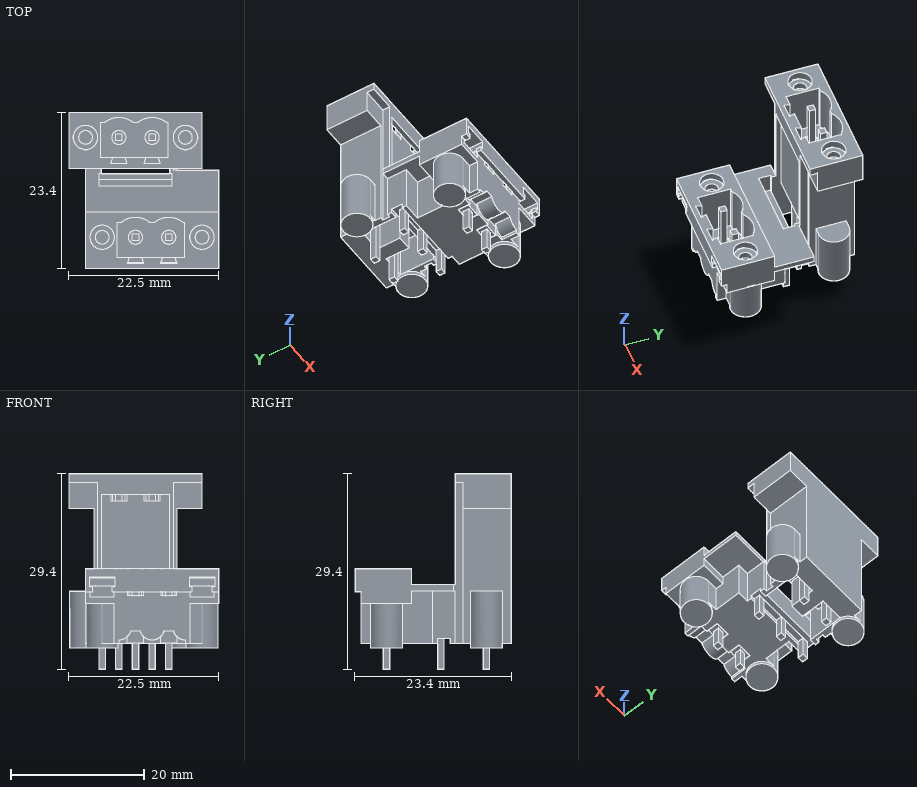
import cadquery as cq


pitch = 5.0
pin_width = 1.0
pin_bottom = -3.85
pin_drop = 0.8
row_distance = 14.97
contact_offsets = (-pitch / 2, pitch / 2)

rear_x, rear_y, rear_top = 0.0, 0.0, 25.5
front_x, front_y, front_top = pitch / 2, -row_distance, 11.27
rear_connector = (rear_x, rear_y, rear_top)
front_connector = (front_x, front_y, front_top)

flange_length = 20.0
flange_height = 5.25
flange_back = 3.75
lip_front = -4.7
front_face = -3.85
rear_face = -3.45
front_lip_height = 3.5
rear_lip_height = 1.32

cavity_left, cavity_right = -5.25, 4.85
cavity_front, cavity_back = -3.02, 2.2
cavity_depth = 8.0
lobe_radius = 3.4
lobe_peak = 3.0
key_front = -3.9
key_depth = 4.08
key_narrow, key_wide = 1.88, 2.4
ring_radius = 1.05
ring_depth = 0.3

screw_offset = 1.5 * pitch
screw_offsets = (-screw_offset, screw_offset)
counterbore_radius = 1.82
nut_hole_radius = 1.03
nut_width = 3.82
nut_top_depth, nut_bottom_depth = 1.4, 2.58
nut_slot_top_depth, nut_slot_bottom_depth = 1.3, 2.7
screw_slot_width, screw_slot_mouth_width = 3.58, 2.97
screw_slot_depth = 4.3

foot_radius = 2.4
foot_bottom = -0.65

tower_width = 12.5
body_width = 11.4
recess_width = 10.22
recess_back = -3.88
recess_top = 22.37
recess_bottom = 7.08
rib_width = 2.45
rib_front = -3.58

bridge_top, bridge_bottom = 8.9, 7.9
bridge_clearance = 0.2
block_front = -8.05

comb_front = -7.3
comb_back = comb_front + pin_width
comb_length = 2 * pitch + pin_width
slot_back = -5.43
slot_depth = 3.23
notch_height = 0.75

scallop_radius = 1.88
scallop_bottom = 0.55
pocket_height = 1.88
pocket_back = -1.17
channel_width = 2.47
channel_back = -0.88
relief_height = 0.1


def box(x0, x1, y0, y1, z0, z1):
    return cq.Workplane("XY").box(x1 - x0, y1 - y0, z1 - z0, centered=False).translate((x0, y0, z0))


def wide_box(x, width, y0, y1, z0, z1):
    """A box centred on x."""
    return box(x - width / 2, x + width / 2, y0, y1, z0, z1)


def cylinder(x, y, radius, z0, z1):
    return cq.Workplane("XY").circle(radius).extrude(z1 - z0).translate((x, y, z0))


def make_flange(connector, face, lip_height):
    x, y, top = connector
    body = wide_box(x, flange_length, y + face, y + flange_back, top - flange_height, top)
    lip = wide_box(x, flange_length, y + lip_front, y + face, top - lip_height, top)
    return body.union(lip)


def make_foot(x, y, top, body_side):
    """A round foot with a flat-sided web that joins it to the body."""
    round_part = cylinder(x, y, foot_radius, foot_bottom, top)
    web = box(min(x, body_side), max(x, body_side), y - foot_radius, y + foot_radius, 0, top)
    return round_part.union(web)


def make_feet(connector, width, top):
    x, y, _ = connector
    feet = cq.Workplane("XY")
    for side in (-1, 1):
        feet = feet.add(make_foot(x + side * screw_offset, y, top, x + side * width / 2).val())
    return feet.combine()


def make_cavity(connector):
    """Plug cavity with a lobe and a dovetail key slot at each contact."""
    x, y, top = connector
    floor = top - cavity_depth
    cavity = box(x + cavity_left, x + cavity_right, y + cavity_front, y + cavity_back, floor, top)
    lobe_room = box(x + cavity_left, x + cavity_right, y, y + lobe_peak, floor, top)
    for offset in contact_offsets:
        pin_x = x + offset
        lobe = cylinder(pin_x, y + lobe_peak - lobe_radius, lobe_radius, floor, top).intersect(lobe_room)
        ring = cylinder(pin_x, y, ring_radius, floor - ring_depth, floor)
        key = (
            cq.Workplane("XY")
            .polyline([
                (pin_x - key_narrow / 2, y + cavity_front),
                (pin_x + key_narrow / 2, y + cavity_front),
                (pin_x + key_wide / 2, y + key_front),
                (pin_x - key_wide / 2, y + key_front),
            ])
            .close()
            .extrude(key_depth)
            .translate((0, 0, top - key_depth))
        )
        cavity = cavity.union(lobe).union(ring).union(key)
    return cavity


def make_nut(x, y, top):
    half = nut_width / 2
    nut = wide_box(x, nut_width, y - half, y + half, top - nut_bottom_depth, top - nut_top_depth)
    return nut.cut(cylinder(x, y, nut_hole_radius, top - nut_bottom_depth, top - nut_top_depth))


def make_nut_pocket(x, y, top):
    """Closed nut seat under a counterbore."""
    half = nut_width / 2
    seat = wide_box(x, nut_width, y - half, y + half, top - nut_bottom_depth, top - nut_top_depth)
    return seat.union(cylinder(x, y, counterbore_radius, top - nut_top_depth, top))


def make_nut_slot(x, y, top):
    """Stepped nut slot, open at the front, under a counterbore."""
    back = y + nut_width / 2
    lip = y + lip_front
    shelf = top - nut_slot_bottom_depth
    bottom = top - screw_slot_depth
    slot = wide_box(x, nut_width, lip, back, shelf, top - nut_slot_top_depth)
    mouth = wide_box(x, screw_slot_mouth_width, lip, y + front_face, bottom, shelf)
    screw_room = wide_box(x, screw_slot_width, y + front_face, back, bottom, shelf)
    counterbore = cylinder(x, y, counterbore_radius, top - nut_slot_top_depth, top)
    return slot.union(mouth).union(screw_room).union(counterbore)


def make_contact(x, y, top):
    half = pin_width / 2
    return wide_box(x, pin_width, y - half, y + half, pin_bottom, top - pin_drop)


def make_tower():
    """Rear connector: flange, tower and feet, with a front recess and two contact channels."""
    tower = wide_box(rear_x, tower_width, rear_face, flange_back, 0, rear_top)
    face = wide_box(rear_x, body_width, lip_front, rear_face, 0, rear_top)
    recess = wide_box(rear_x, recess_width, lip_front, recess_back, 0, recess_top)
    channels = wide_box(rear_x, recess_width, recess_back, pin_width / 2, 0, recess_bottom)
    rib = wide_box(rear_x, rib_width, rib_front, pin_width / 2, 0, recess_bottom)
    return (
        tower.union(face)
        .union(make_flange(rear_connector, rear_face, rear_lip_height))
        .union(make_feet(rear_connector, tower_width, bridge_bottom))
        .cut(recess)
        .cut(channels.cut(rib))
    )


def make_scalloped_pocket():
    """Pocket under the front block, scalloped between contacts, with a channel at each contact."""
    front = front_y + front_face
    back = front_y + pocket_back
    pocket = wide_box(front_x, 2 * pitch, front, back, 0, pocket_height)
    for offset in (-pitch, 0, pitch):
        scallop = (
            cq.Workplane("XZ")
            .center(front_x + offset, scallop_bottom + scallop_radius)
            .circle(scallop_radius)
            .extrude(front - back)
            .translate((0, front, 0))
        )
        pocket = pocket.cut(scallop)
    for offset in contact_offsets:
        pin_x = front_x + offset
        channel = wide_box(pin_x, channel_width, back, front_y + channel_back, 0, pocket_height)
        relief = wide_box(pin_x, channel_width, back, front_y - channel_back, 0, relief_height)
        pocket = pocket.union(channel).union(relief)
    return pocket


def make_front_block():
    block = wide_box(front_x, body_width, front_y + front_face, block_front, 0, bridge_bottom)
    return (
        block.union(make_flange(front_connector, front_face, front_lip_height))
        .union(make_feet(front_connector, body_width, front_top - flange_height))
        .cut(make_scalloped_pocket())
    )


def make_bridge():
    """Plate between the connectors on a block with the comb's slot and an underside notch."""
    flange_side = front_x + flange_length / 2
    plate_front = front_y + flange_back
    plate = wide_box(front_x, flange_length, plate_front, lip_front, bridge_bottom, bridge_top)
    block = wide_box(rear_x, tower_width, block_front, lip_front, 0, bridge_bottom)
    relief_front = lip_front - bridge_clearance
    relief = box(body_width / 2, flange_side, relief_front, lip_front, bridge_bottom, bridge_top)
    gap = wide_box(rear_x, recess_width, slot_back, lip_front, 0, bridge_top)
    slot = wide_box(rear_x, comb_length, comb_front, slot_back, bridge_top - slot_depth, bridge_top)
    notch = wide_box(rear_x, tower_width, comb_front, slot_back, 0, notch_height)
    return plate.union(block).cut(relief).cut(gap).cut(slot).cut(notch)


def make_comb_plate():
    slot_floor = bridge_top - slot_depth
    return wide_box(rear_x, comb_length, comb_front, comb_back, notch_height, slot_floor)


def make_comb():
    """Upright plate with three solder legs."""
    comb = make_comb_plate()
    for offset in (-pitch, 0, pitch):
        leg = wide_box(rear_x + offset, pin_width, comb_front, comb_back, pin_bottom, notch_height)
        comb = comb.union(leg)
    return comb


contacts = []
nuts = []
for x, y, top in (rear_connector, front_connector):
    for offset in contact_offsets:
        contacts.append(make_contact(x + offset, y, top))
    for offset in screw_offsets:
        nuts.append(make_nut(x + offset, y, top))

comb = make_comb()

housing = make_tower().union(make_bridge()).union(make_front_block())
for connector in (rear_connector, front_connector):
    housing = housing.cut(make_cavity(connector))
for offset in screw_offsets:
    housing = housing.cut(make_nut_pocket(rear_x + offset, rear_y, rear_top))
    housing = housing.cut(make_nut_slot(front_x + offset, front_y, front_top))
for contact in contacts:
    housing = housing.cut(contact)
housing = housing.cut(make_comb_plate())

result = cq.Compound.makeCompound([
    housing.val(),
    comb.val(),
    *[contact.val() for contact in contacts],
    *[nut.val() for nut in nuts],
])